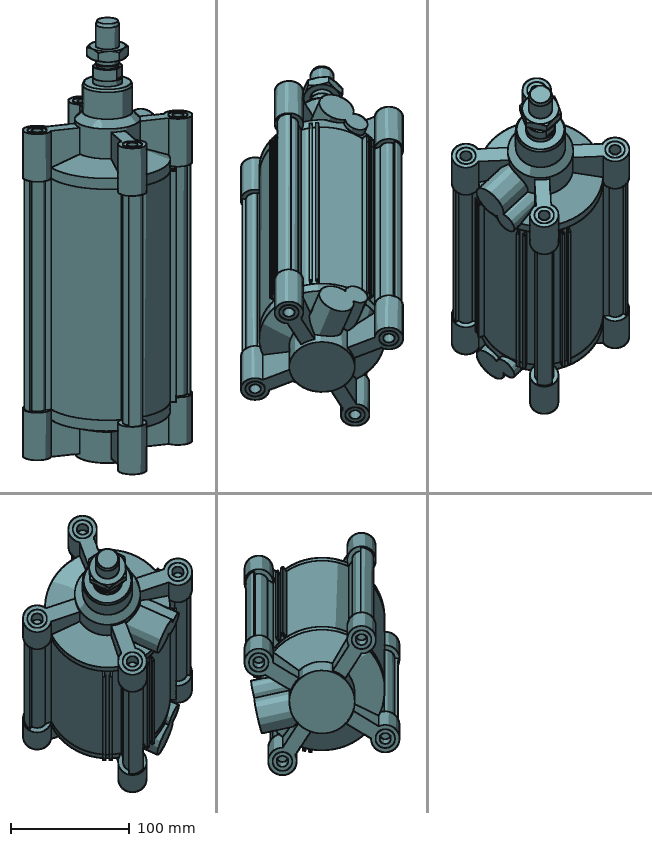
import cadquery as cq
import math


total_length = 383.0
rear_hub_length = 4.2
cap_height = 42.0
barrel_length = 204.5
barrel_bottom = rear_hub_length + cap_height
barrel_top = barrel_bottom + barrel_length

overall_width = 113.0
boss_spacing = 89.0
boss_offset = boss_spacing / 2
boss_reach = math.hypot(boss_offset, boss_offset)
boss_centres = [(sx * boss_offset, sy * boss_offset) for sx in (-1, 1) for sy in (-1, 1)]
boss_diameter = overall_width - boss_spacing
screw_recess_diameter = 16.5
screw_recess_depth = 0.5
screw_hole_diameter = 9.5
screw_hole_depth = 15.5
web_width = 12.5
flange_diameter = 105.7
flange_height = 9.5
cone_height = 9.2
hub_diameter = 55.0

port_reach = overall_width / 2
port_diameter = 30.5
port_x = 6.0
port_height = 23.0
cushion_diameter = 20.0
cushion_x = -11.5
cushion_height = 10.7

neck_diameter = 42.0
neck_top = 328.5
neck_bottom = 302.5
neck_chamfer_height = 2.3
neck_chamfer_width = 1.0
shoulder_height = 6.5

barrel_diameter = 105.7
ear_diameter = 16.0
ear_pad_diameter = 22.0
ear_pad_angle = 72.0
rail_angle = 25.5
rail_half_width = 4.0
rail_top = 58.0
rail_thickness = 1.5
rail_gap = 3.0

rod_diameter = 25.0
flats_section_diameter = 24.5
flats_width = 22.2
flats_bottom = 334.0
flats_section_bottom = 333.2
flats_section_top = 343.0
undercut_diameter = 19.0
undercut_top = 345.0
thread_diameter = 20.0
thread_runout_height = 1.0
tip_chamfer_height = 3.0
tip_chamfer_width = 1.0

nut_across_flats = 30.5
nut_bottom = 351.2
nut_height = 9.5
nut_chamfer_angle = 30.0
hexagon_half_angle = 30.0


def cylinder(diameter, bottom, top):
    return cq.Workplane("XY").workplane(offset=bottom).circle(diameter / 2).extrude(top - bottom)


def turned(points):
    """Solid of revolution about Z from (radius, z) points that start and end on the axis."""
    return cq.Workplane("XZ").polyline(points).close().revolve(360, (0, 0, 0), (0, 1, 0))


def diagonal_webs(reach, height):
    """Two crossed plates along the diagonals, reaching `reach` from the axis."""
    webs = cq.Workplane("XY")
    for angle in (45, 135):
        plate = cq.Workplane("XY").rect(2 * reach, web_width).extrude(height)
        webs = webs.add(plate.rotate((0, 0, 0), (0, 0, 1), angle))
    return webs.combine()


def side_housing(diameter, x, height):
    """Horizontal cylinder from the hub to the +Y face."""
    return cq.Workplane("XZ").center(x, height).circle(diameter / 2).extrude(-port_reach)


def cap_shape():
    """Cap standing on z = 0, where it meets the barrel, with its bosses opening upwards."""
    flange_radius = flange_diameter / 2
    hub_radius = hub_diameter / 2
    cap = turned([
        (0, 0),
        (flange_radius, 0),
        (flange_radius, flange_height),
        (hub_radius, flange_height + cone_height),
        (hub_radius, cap_height),
        (0, cap_height),
    ])
    cap = cap.union(diagonal_webs(boss_reach, cap_height))
    bosses = cq.Workplane("XY").pushPoints(boss_centres).circle(boss_diameter / 2).extrude(cap_height)
    cap = cap.union(bosses)
    cap = cap.union(side_housing(port_diameter, port_x, port_height))
    cap = cap.union(side_housing(cushion_diameter, cushion_x, cushion_height))
    boss_tops = cq.Workplane("XY").workplane(offset=cap_height).pushPoints(boss_centres)
    recesses = boss_tops.circle(screw_recess_diameter / 2).extrude(-screw_recess_depth)
    screw_holes = boss_tops.circle(screw_hole_diameter / 2).extrude(-screw_hole_depth)
    return cap.cut(recesses).cut(screw_holes)


def make_rear_cap():
    cap = cap_shape().mirror("XY").translate((0, 0, barrel_bottom))
    return cap.union(cylinder(hub_diameter, 0, barrel_bottom))


def make_front_cap():
    neck_radius = neck_diameter / 2
    hub_radius = hub_diameter / 2
    neck = turned([
        (0, barrel_top),
        (hub_radius, barrel_top),
        (hub_radius, neck_bottom - shoulder_height),
        (neck_radius, neck_bottom),
        (neck_radius, neck_top - neck_chamfer_height),
        (neck_radius - neck_chamfer_width, neck_top),
        (0, neck_top),
    ])
    cap = cap_shape().translate((0, 0, barrel_top)).union(neck)
    return cap.cut(cylinder(rod_diameter, barrel_top, neck_top))


def sensor_rail(angle):
    """Pair of facing L-shaped lips along the barrel, in the direction `angle` degrees from +X."""
    root = barrel_diameter / 2 - rail_thickness
    rails = cq.Workplane("XY")
    for side in (-1, 1):
        outer = side * rail_half_width
        inner = side * (rail_half_width - rail_thickness)
        tip = side * rail_gap / 2
        lip = (
            cq.Workplane("XY")
            .polyline([
                (root, outer),
                (rail_top, outer),
                (rail_top, tip),
                (rail_top - rail_thickness, tip),
                (rail_top - rail_thickness, inner),
                (root, inner),
            ])
            .close()
            .extrude(barrel_length)
        )
        rails = rails.add(lip)
    return rails.combine().rotate((0, 0, 0), (0, 0, 1), angle)


def ear_pad(centre):
    """Sector about an ear axis, facing away from the cylinder axis."""
    radius = ear_pad_diameter / 2
    half_angle = math.radians(ear_pad_angle / 2)
    edge_x = radius * math.cos(half_angle)
    edge_y = radius * math.sin(half_angle)
    pad = (
        cq.Workplane("XY")
        .lineTo(edge_x, -edge_y)
        .threePointArc((radius, 0), (edge_x, edge_y))
        .close()
        .extrude(barrel_length)
    )
    x, y = centre
    outward = math.degrees(math.atan2(y, x))
    return pad.rotate((0, 0, 0), (0, 0, 1), outward).translate((x, y, 0))


def make_barrel():
    barrel = cylinder(barrel_diameter, 0, barrel_length)
    barrel = barrel.union(diagonal_webs(boss_reach, barrel_length))
    ears = cq.Workplane("XY").pushPoints(boss_centres).circle(ear_diameter / 2).extrude(barrel_length)
    barrel = barrel.union(ears)
    for centre in boss_centres:
        barrel = barrel.union(ear_pad(centre))
    for angle in (rail_angle, 90 - rail_angle, 90 + rail_angle, 180 - rail_angle):
        barrel = barrel.union(sensor_rail(angle))
    return barrel.translate((0, 0, barrel_bottom))


def make_rod():
    rod_radius = rod_diameter / 2
    flats_section_radius = flats_section_diameter / 2
    undercut_radius = undercut_diameter / 2
    thread_radius = thread_diameter / 2
    rod = turned([
        (0, barrel_top),
        (rod_radius, barrel_top),
        (rod_radius, flats_section_bottom),
        (flats_section_radius, flats_section_bottom),
        (flats_section_radius, flats_section_top),
        (undercut_radius, flats_section_top),
        (undercut_radius, undercut_top),
        (thread_radius, undercut_top + thread_runout_height),
        (thread_radius, total_length - tip_chamfer_height),
        (thread_radius - tip_chamfer_width, total_length),
        (0, total_length),
    ])
    flats_length = flats_section_top - flats_bottom
    for side in (-1, 1):
        cutter = cq.Workplane("XY").rect(rod_diameter, rod_diameter).extrude(flats_length)
        rod = rod.cut(cutter.translate((side * (flats_width + rod_diameter) / 2, 0, flats_bottom)))
    return rod


def make_nut():
    corner_diameter = nut_across_flats / math.cos(math.radians(hexagon_half_angle))
    hexagon = cq.Workplane("XY").polygon(6, corner_diameter).extrude(nut_height)
    hexagon = hexagon.rotate((0, 0, 0), (0, 0, 1), hexagon_half_angle)
    corner_radius = corner_diameter / 2
    face_radius = nut_across_flats / 2
    chamfer_height = (corner_radius - face_radius) * math.tan(math.radians(nut_chamfer_angle))
    chamfer_envelope = turned([
        (0, 0),
        (face_radius, 0),
        (corner_radius, chamfer_height),
        (corner_radius, nut_height - chamfer_height),
        (face_radius, nut_height),
        (0, nut_height),
    ])
    nut = hexagon.intersect(chamfer_envelope).cut(cylinder(thread_diameter, 0, nut_height))
    return nut.translate((0, 0, nut_bottom))


rear_cap = make_rear_cap()
barrel = make_barrel()
front_cap = make_front_cap()
piston_rod = make_rod()
lock_nut = make_nut()

result = cq.Compound.makeCompound([
    rear_cap.val(),
    barrel.val(),
    front_cap.val(),
    piston_rod.val(),
    lock_nut.val(),
])